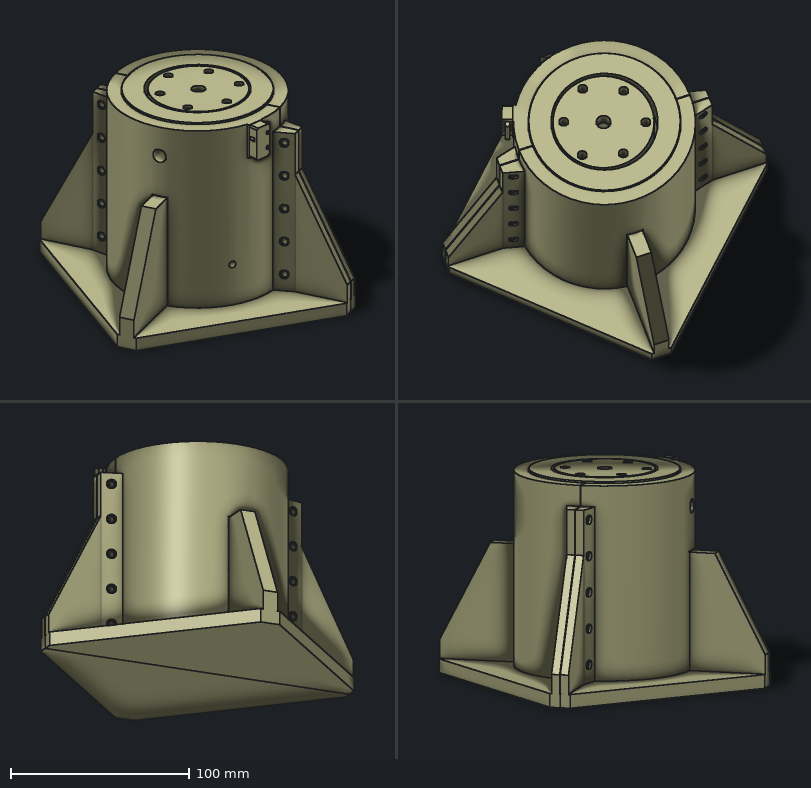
import cadquery as cq
import math

SPAN = 189.8
TOTAL_HEIGHT = 120.3
PLATE_HEIGHT = 8.0
CORNER_WIDTH = 11.8
HOUSING_DIAMETER = 102.1
HOUSING_HEIGHT = 119.4

RIB_TOE_HEIGHT = 19.0
SIDE_RIB_WIDTH = 9.9
SIDE_RIB_TOP = 81.6
FRONT_RIB_WIDTH = 9.0
FRONT_RIB_TOP = 75.5
FRONT_RIB_TOP_REACH = 65.5
RELIEF_CLEARANCE = 0.4
RELIEF_DEPTH = 1.0

SPLIT_GAP = 0.4
FLANGE_REACH = 62.6
FLANGE_TOP = 107.5
FLANGE_ROOT_WIDTH = 16.3
FLANGE_ROOT_OVERLAP = 0.5
BOLT_OFFSET = 56.5
BOLT_COUNT = 5
BOLT_PITCH = 20.7
FIRST_BOLT_HEIGHT = 18.2
BOLT_HOLE_DIAMETER = 4.0
COUNTERBORE_DIAMETER = 5.1
COUNTERBORE_FLOOR = 5.5

RECESS_DIAMETER = 85.8
RECESS_FLOOR = 103.5
RING_DIAMETER = 85.0
RING_BORE = 60.0
HUB_DIAMETER = 56.7
HUB_OFFSET = 0.5
HUB_BORE = 8.0
HUB_BORE_DEPTH = 9.5
HUB_HOLE_DIAMETER = 5.1
INNER_HOLE_RADIUS = 22.4
OUTER_HOLE_RADIUS = 23.7
INNER_HOLE_START = 100.0
OUTER_HOLE_START = 40.0
HOLES_PER_CIRCLE = 3
CROSS_BORE_DIAMETER = 8.0
CROSS_BORE_HEIGHT = 101.3
CROSS_BORE_END = 38.0
DRILL_POINT_ANGLE = 118.0
SIDE_HOLE_DIAMETER = 4.0
SIDE_HOLE_HEIGHT = 33.4
SIDE_HOLE_ANGLE = -42.6
SIDE_HOLE_DEPTH = 7.5

SENSOR_ANGLE = -21.0
PAD_FACE = 51.6
PAD_END = 0.5
PAD_HEIGHT = 20.9
SENSOR_THICKNESS = 6.3
SENSOR_START = -9.9
SENSOR_LENGTH = 10.0
SENSOR_HEIGHT = 20.1
SENSOR_CHAMFER = 1.0
SENSOR_HOLE_DIAMETER = 2.0
SENSOR_HOLE_DEPTH = 1.1
SENSOR_HOLE_PITCH = 9.3
SENSOR_HOLE_INSET = 1.5
LATCH_WIDTH = 3.2
LATCH_DIAMETER = 1.9
LATCH_DROP = 7.5

TAB_WIDTH = 2.7
TAB_LENGTH = 3.0
TAB_OFFSET = 54.5
TAB_INSET = 1.5

HALF_SPAN = SPAN / 2
HOUSING_RADIUS = HOUSING_DIAMETER / 2


def cylinder(diameter, bottom, top):
    return cq.Workplane("XY").workplane(offset=bottom).circle(diameter / 2).extrude(top - bottom)


def base_plate():
    half_corner = CORNER_WIDTH / 2
    quarter = [(HALF_SPAN, half_corner), (half_corner, HALF_SPAN)]
    outline = quarter + [(-y, x) for x, y in quarter]
    outline += [(-x, -y) for x, y in outline]
    return cq.Workplane("XY").polyline(outline).close().extrude(PLATE_HEIGHT)


def rib_pair(plane, top_reach, top_height, width):
    outline = [
        (-HALF_SPAN, 0),
        (HALF_SPAN, 0),
        (HALF_SPAN, RIB_TOE_HEIGHT),
        (top_reach, top_height),
        (-top_reach, top_height),
        (-HALF_SPAN, RIB_TOE_HEIGHT),
    ]
    return cq.Workplane(plane).polyline(outline).close().extrude(width / 2, both=True)


def flange_pair():
    root = (HOUSING_RADIUS - FLANGE_ROOT_OVERLAP, FLANGE_ROOT_WIDTH / 2)
    tip = (FLANGE_REACH, SIDE_RIB_WIDTH / 2)
    outline = [root, tip, (tip[0], -tip[1]), (root[0], -root[1])]
    outline += [(-x, -y) for x, y in outline]
    return cq.Workplane("XY").polyline(outline).close().extrude(FLANGE_TOP)


def flange_holes():
    places = [
        (side * BOLT_OFFSET, FIRST_BOLT_HEIGHT + i * BOLT_PITCH)
        for side in (-1, 1)
        for i in range(BOLT_COUNT)
    ]
    holes = (
        cq.Workplane("XZ")
        .pushPoints(places)
        .circle(BOLT_HOLE_DIAMETER / 2)
        .extrude(FLANGE_ROOT_WIDTH, both=True)
    )
    for side in (-1, 1):
        counterbores = (
            cq.Workplane("XZ", origin=(0, side * COUNTERBORE_FLOOR, 0))
            .pushPoints(places)
            .circle(COUNTERBORE_DIAMETER / 2)
            .extrude(-side * FLANGE_ROOT_WIDTH)
        )
        holes = holes.union(counterbores)
    return holes


def rib_reliefs():
    """Shallow slots in the cylinder wall, slightly wider and taller than the ribs they take."""
    width = FRONT_RIB_WIDTH + 2 * RELIEF_CLEARANCE
    height = FRONT_RIB_TOP + RELIEF_CLEARANCE - PLATE_HEIGHT
    floor = HOUSING_RADIUS - RELIEF_DEPTH
    slots = cq.Workplane("XY").box(width, SPAN, height)
    slots = slots.cut(cq.Workplane("XY").box(width, 2 * floor, height))
    return slots.translate((0, 0, PLATE_HEIGHT + height / 2))


def sensor_plane():
    """Frame on the cylinder axis at the housing top: local x tangential, y up, z radial."""
    angle = math.radians(SENSOR_ANGLE)
    radial = (math.cos(angle), math.sin(angle), 0)
    tangent = (-math.sin(angle), math.cos(angle), 0)
    return cq.Plane(origin=(0, 0, HOUSING_HEIGHT), xDir=tangent, normal=radial)


def sensor_pad():
    return (
        cq.Workplane(sensor_plane())
        .center(SENSOR_START, -PAD_HEIGHT)
        .rect(PAD_END - SENSOR_START, PAD_HEIGHT, centered=False)
        .extrude(PAD_FACE)
    )


def cross_bore():
    radius = CROSS_BORE_DIAMETER / 2
    tip = CROSS_BORE_END + radius / math.tan(math.radians(DRILL_POINT_ANGLE / 2))
    outline = [(0, -HALF_SPAN), (radius, -HALF_SPAN), (radius, CROSS_BORE_END), (0, tip)]
    bore = cq.Workplane("XY").polyline(outline).close().revolve(360, (0, 0, 0), (0, 1, 0))
    return bore.translate((0, 0, CROSS_BORE_HEIGHT))


def side_hole():
    hole = (
        cq.Workplane("YZ")
        .workplane(offset=HOUSING_RADIUS - SIDE_HOLE_DEPTH)
        .center(0, SIDE_HOLE_HEIGHT)
        .circle(SIDE_HOLE_DIAMETER / 2)
        .extrude(2 * SIDE_HOLE_DEPTH)
    )
    return hole.rotate((0, 0, 0), (0, 0, 1), SIDE_HOLE_ANGLE)


def make_housing():
    body = (
        cylinder(HOUSING_DIAMETER, 0, HOUSING_HEIGHT)
        .cut(rib_reliefs())
        .union(base_plate())
        .union(rib_pair("XZ", FLANGE_REACH, SIDE_RIB_TOP, SIDE_RIB_WIDTH))
        .union(rib_pair("YZ", FRONT_RIB_TOP_REACH, FRONT_RIB_TOP, FRONT_RIB_WIDTH))
        .union(flange_pair())
        .union(sensor_pad())
    )
    return (
        body.cut(cylinder(RECESS_DIAMETER, RECESS_FLOOR, TOTAL_HEIGHT))
        .cut(flange_holes())
        .cut(cross_bore())
        .cut(side_hole())
    )


def housing_half(side):
    half_space = (
        cq.Workplane("XY")
        .box(2 * SPAN, SPAN, 2 * SPAN)
        .translate((0, side * HALF_SPAN, 0))
    )
    split_gap = (
        cq.Workplane("XY")
        .box(2 * SPAN, SPLIT_GAP, SPAN)
        .translate((0, 0, PLATE_HEIGHT + HALF_SPAN))
    )
    return make_housing().intersect(half_space).cut(split_gap)


def make_ring():
    return cylinder(RING_DIAMETER, RECESS_FLOOR, TOTAL_HEIGHT).cut(
        cylinder(RING_BORE, RECESS_FLOOR, TOTAL_HEIGHT)
    )


def hub_holes(radius, start_angle):
    return (
        cq.Workplane("XY")
        .workplane(offset=RECESS_FLOOR)
        .polarArray(radius, start_angle, 360, HOLES_PER_CIRCLE)
        .circle(HUB_HOLE_DIAMETER / 2)
        .extrude(TOTAL_HEIGHT - RECESS_FLOOR)
    )


def make_hub():
    hub = (
        cylinder(HUB_DIAMETER, RECESS_FLOOR, TOTAL_HEIGHT)
        .cut(cylinder(HUB_BORE, TOTAL_HEIGHT - HUB_BORE_DEPTH, TOTAL_HEIGHT))
        .cut(hub_holes(INNER_HOLE_RADIUS, INNER_HOLE_START))
        .cut(hub_holes(OUTER_HOLE_RADIUS, OUTER_HOLE_START))
    )
    return hub.translate((HUB_OFFSET, 0, 0))


def sensor_latch():
    return (
        cq.Workplane(sensor_plane())
        .workplane(offset=PAD_FACE + (SENSOR_THICKNESS - LATCH_WIDTH) / 2)
        .center(SENSOR_START, -LATCH_DROP)
        .circle(LATCH_DIAMETER / 2)
        .extrude(LATCH_WIDTH)
    )


def sensor_holes():
    places = [
        (SENSOR_START + SENSOR_LENGTH - SENSOR_HOLE_INSET, (side * SENSOR_HOLE_PITCH - SENSOR_HEIGHT) / 2)
        for side in (-1, 1)
    ]
    return (
        cq.Workplane(sensor_plane())
        .workplane(offset=PAD_FACE + SENSOR_THICKNESS)
        .pushPoints(places)
        .circle(SENSOR_HOLE_DIAMETER / 2)
        .extrude(-SENSOR_HOLE_DEPTH)
    )


def make_sensor():
    end = SENSOR_START + SENSOR_LENGTH
    cut = SENSOR_CHAMFER
    outline = [
        (SENSOR_START + cut, 0),
        (end - cut, 0),
        (end, -cut),
        (end, cut - SENSOR_HEIGHT),
        (end - cut, -SENSOR_HEIGHT),
        (SENSOR_START + cut, -SENSOR_HEIGHT),
        (SENSOR_START, cut - SENSOR_HEIGHT),
        (SENSOR_START, -cut),
    ]
    body = (
        cq.Workplane(sensor_plane())
        .workplane(offset=PAD_FACE)
        .polyline(outline)
        .close()
        .extrude(SENSOR_THICKNESS)
    )
    return body.cut(sensor_holes()).union(sensor_latch())


def make_tab():
    bottom = HOUSING_HEIGHT - SENSOR_HEIGHT + TAB_INSET
    height = SENSOR_HEIGHT - 2 * TAB_INSET
    start = SENSOR_START + SENSOR_LENGTH
    straight_end = start + TAB_LENGTH - TAB_WIDTH / 2
    inner = TAB_OFFSET - TAB_WIDTH / 2
    outer = TAB_OFFSET + TAB_WIDTH / 2
    tab = (
        cq.Workplane("XY")
        .workplane(offset=bottom)
        .moveTo(inner, start)
        .lineTo(inner, straight_end)
        .threePointArc((TAB_OFFSET, start + TAB_LENGTH), (outer, straight_end))
        .lineTo(outer, start)
        .close()
        .extrude(height)
    )
    return tab.rotate((0, 0, 0), (0, 0, 1), SENSOR_ANGLE)


front_half = housing_half(-1)
back_half = housing_half(1)
ring = make_ring()
hub = make_hub()
sensor = make_sensor()
tab = make_tab()

result = cq.Compound.makeCompound(
    [front_half.val(), back_half.val(), ring.val(), hub.val(), sensor.val(), tab.val()]
)